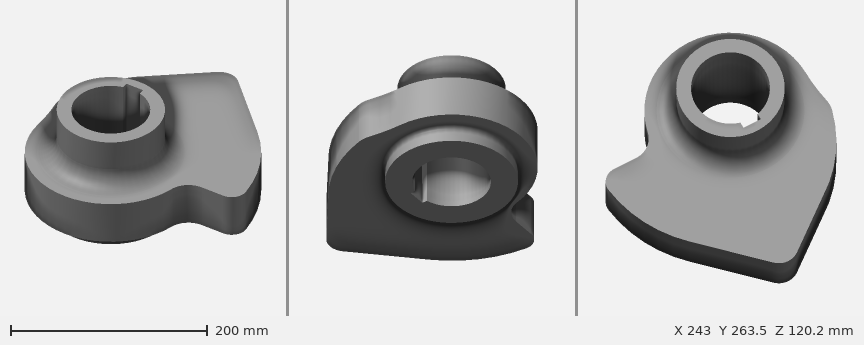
import cadquery as cq
import math

lower_hub_height = 18.2
plate_thickness = 48.0
upper_hub_height = 54.0
plate_top = lower_hub_height + plate_thickness
total_height = plate_top + upper_hub_height

bore_radius = 40.0
upper_hub_radius = 110.0 / 2
upper_flare_radius = 20.0
lower_hub_radius = 135.0 / 2
lower_flare_radius = 4.0
keyway_width = 20.0
keyway_reach_bottom = 44.3
keyway_reach_top = 45.3

base_radius = 87.5
tip_radius = 20.0
tip_x = 30.3
tip_y = 156.0
left_flank_angle = math.radians(39.3)
right_flank_angle = math.radians(45.5)
left_arc_ends = [(-91.0, 36.5), (-90.4, 50.0), (-70.9, 93.0), (-35.3, 129.5)]
right_flank_end = (107.5, 108.3)
corner_radius = 16.0
corner_x = 135.5
corner_top_angle = math.radians(7)
notch_radius = 25.0


def point_on_circle(center_x, center_y, radius, angle):
    """Point at an angle measured counterclockwise from +X."""
    return (center_x + radius * math.cos(angle), center_y + radius * math.sin(angle))


def make_plate():
    """Cam plate, outlined clockwise from the left side of the base circle."""
    tip_left = point_on_circle(tip_x, tip_y, tip_radius, math.pi / 2 + left_flank_angle)
    tip_top = (tip_x, tip_y + tip_radius)
    tip_right = point_on_circle(tip_x, tip_y, tip_radius, math.pi / 2 - right_flank_angle)
    corner_top = point_on_circle(corner_x, corner_radius, corner_radius, corner_top_angle)
    corner_middle = point_on_circle(corner_x, corner_radius, corner_radius, -math.pi / 4)

    notch_x = math.sqrt((base_radius + notch_radius) ** 2 - notch_radius ** 2)
    notch_angle = math.atan2(-notch_radius, notch_x)
    notch_end = point_on_circle(0, 0, base_radius, notch_angle)

    outline = cq.Workplane("XY").workplane(offset=lower_hub_height)
    outline = outline.moveTo(-base_radius, 0)
    first_end_x, first_end_y = left_arc_ends[0]
    lean = 2 * math.atan2(-base_radius - first_end_x, first_end_y)
    first_radius = first_end_y / math.sin(lean)
    first_middle = point_on_circle(-base_radius - first_radius, 0, first_radius, lean / 2)
    outline = outline.threePointArc(first_middle, left_arc_ends[0])
    for arc_end in left_arc_ends[1:]:
        outline = outline.tangentArcPoint(arc_end, relative=False)
    outline = outline.lineTo(*tip_left).threePointArc(tip_top, tip_right)
    outline = outline.lineTo(*right_flank_end).tangentArcPoint(corner_top, relative=False)
    outline = outline.threePointArc(corner_middle, (corner_x, 0))
    outline = outline.lineTo(notch_x, 0).tangentArcPoint(notch_end, relative=False)
    outline = outline.threePointArc((0, -base_radius), (-base_radius, 0))
    return outline.close().extrude(plate_thickness)


def make_hubs():
    """Both hubs, turned as one body and flared where they meet the plate."""
    flare_middle = point_on_circle(
        upper_hub_radius + upper_flare_radius,
        plate_top + upper_flare_radius,
        upper_flare_radius,
        math.radians(225),
    )
    profile = (
        cq.Workplane("XZ")
        .lineTo(lower_hub_radius, 0)
        .lineTo(lower_hub_radius, lower_hub_height - lower_flare_radius)
        .tangentArcPoint((lower_flare_radius, lower_flare_radius))
        .lineTo(lower_hub_radius + lower_flare_radius, plate_top)
        .lineTo(upper_hub_radius + upper_flare_radius, plate_top)
        .threePointArc(flare_middle, (upper_hub_radius, plate_top + upper_flare_radius))
        .lineTo(upper_hub_radius, total_height)
        .lineTo(0, total_height)
        .close()
    )
    return profile.revolve(360, (0, 0, 0), (0, 1, 0))


def make_bore():
    """Shaft bore with its tapered keyway on the +Y side."""
    bore = cq.Workplane("XY").circle(bore_radius).extrude(total_height)
    keyway = (
        cq.Workplane("YZ")
        .lineTo(keyway_reach_bottom, 0)
        .lineTo(keyway_reach_top, total_height)
        .lineTo(0, total_height)
        .close()
        .extrude(keyway_width / 2, both=True)
    )
    return bore.union(keyway)


result = make_plate().union(make_hubs()).cut(make_bore())